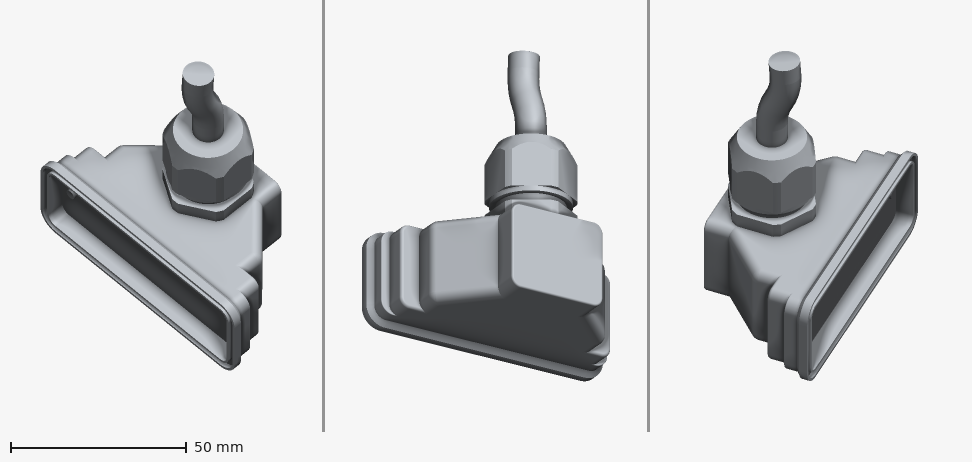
import cadquery as cq
import math

flange_width = 78.4
flange_height = 29.5
flange_radius = 6.0
flange_rim = 2.5
flange_taper_end = 4.05
housing_depth = 43.0
housing_height = 26.2
mid_z = flange_height / 2
housing_top = mid_z + housing_height / 2

collar_width = 74.95
collar_end = 8.0
collar_radius = 4.0
collar_fillet = 0.25
shoulder_width = 69.7
shoulder_end = 14.5
edge_radius = 3.0
shoulder_fillet = 0.9

hood_width = 57.7
hood_slope_start = 21.3
hood_back_width = 30.1
hood_start = 2.5
hood_back_fillet = 0.6
hood_slope_end = hood_slope_start + (hood_width - hood_back_width) / 2

groove_outer_inset = 0.85
groove_inner_inset = 2.5
groove_depth = 1.5
pocket_inset = 3.3
pocket_depth = 5.5
pin_diameter = 3.0
pin_spacing = 63.5
pin_z = 15.3
pin_height = 1.0

gland_overlap = 0.85
gland_y = 28.2
hex_flats = 24.0
hex_corner_diameter = 26.4
neck_diameter = 20.5
base_hex_top = 32.3
neck_top = 35.2
nut_bottom = 36.7
nut_cone_start = 48.2
nut_top = 53.9
nut_top_diameter = 20.0

cable_diameter = 9.0
bend_radius = 19.4
lean_angle = math.radians(27)
end_angle = math.radians(4)
end_length = 5.1
cable_top = 84.4


def rounded_prism(width, height, radius, start, end):
    """Rounded rectangle centred on the housing, running along Y from start to end."""
    return (
        cq.Workplane("XZ", origin=(0, start, mid_z))
        .rect(width, height)
        .extrude(start - end)
        .edges("|Y")
        .fillet(radius)
    )


def flange_inset(inset, start, end):
    """Solid along Y whose outline is the flange outline moved inwards by inset."""
    return rounded_prism(
        flange_width - 2 * inset, flange_height - 2 * inset, flange_radius - inset, start, end
    )


def make_flange():
    """Straight rim with a tapered back that runs down to the collar."""
    taper_inset = (flange_width - collar_width) / 2
    taper_depth = flange_taper_end - flange_rim
    flange = flange_inset(0, 0, flange_taper_end)
    return flange.faces(">Y").edges().chamfer(taper_depth, taper_inset)


def make_steps():
    collar = rounded_prism(collar_width, housing_height, collar_radius, flange_rim, collar_end)
    shoulder = rounded_prism(shoulder_width, housing_height, edge_radius, flange_rim, shoulder_end)
    collar = collar.faces(">Y").edges().fillet(collar_fillet)
    shoulder = shoulder.faces(">Y").edges().fillet(shoulder_fillet)
    return collar.union(shoulder)


def make_hood():
    half_width = hood_width / 2
    half_back = hood_back_width / 2
    right_side = [
        (half_width, hood_start),
        (half_width, hood_slope_start),
        (half_back, hood_slope_end),
        (half_back, housing_depth),
    ]
    left_side = [(-x, y) for x, y in reversed(right_side)]
    hood = (
        cq.Workplane("XY", origin=(0, 0, mid_z - housing_height / 2))
        .polyline(right_side + left_side)
        .close()
        .extrude(housing_height)
    )
    side_edges = hood.faces("<Z or >Z").edges("not |X")
    slope_corners = hood.edges(cq.NearestToPointSelector((half_width, hood_slope_start, mid_z))).add(
        hood.edges(cq.NearestToPointSelector((-half_width, hood_slope_start, mid_z)))
    )
    hood = side_edges.add(slope_corners).fillet(edge_radius)
    return hood.faces(">Y").edges().fillet(hood_back_fillet)


def make_groove():
    outer = flange_inset(groove_outer_inset, 0, groove_depth)
    return outer.cut(flange_inset(groove_inner_inset, 0, groove_depth))


def make_pins():
    return (
        cq.Workplane("XZ", origin=(0, pocket_depth, pin_z))
        .rarray(pin_spacing, 0.85, 2, 1)
        .circle(pin_diameter / 2)
        .extrude(pin_height)
    )


def gland_cylinder(diameter, bottom, top):
    return cq.Workplane("XY", origin=(0, gland_y, bottom)).circle(diameter / 2).extrude(top - bottom)


def gland_hex(bottom, top):
    """Hexagon with two flats facing along X and turned-down corners."""
    hexagon = (
        cq.Workplane("XY", origin=(0, gland_y, bottom))
        .polygon(6, hex_flats, circumscribed=True)
        .extrude(top - bottom)
    )
    return hexagon.intersect(gland_cylinder(hex_corner_diameter, bottom, top))


def make_gland():
    base = gland_hex(housing_top - gland_overlap, base_hex_top)
    neck = gland_cylinder(neck_diameter, base_hex_top, neck_top)
    washer = gland_cylinder(hex_flats, neck_top, nut_bottom)
    cone = (
        cq.Workplane("XY", origin=(0, gland_y, nut_cone_start))
        .circle(hex_corner_diameter / 2)
        .workplane(offset=nut_top - nut_cone_start)
        .circle(nut_top_diameter / 2)
        .loft()
    )
    envelope = gland_cylinder(hex_corner_diameter, nut_bottom, nut_cone_start).union(cone)
    nut = gland_hex(nut_bottom, nut_top).intersect(envelope)
    return base.union(neck).union(washer).union(nut)


def make_cable():
    """Sweep in the YZ plane: leans towards the front, then bends back past vertical."""
    radius = cable_diameter / 2
    end_centre_z = cable_top - radius * math.sin(end_angle)
    bends_rise = bend_radius * (2 * math.sin(lean_angle) + math.sin(end_angle))
    bend_start_z = end_centre_z - end_length * math.cos(end_angle) - bends_rise
    second_centre_y = gland_y - bend_radius + 2 * bend_radius * math.cos(lean_angle)
    second_centre_z = bend_start_z + 2 * bend_radius * math.sin(lean_angle)

    def first_bend(angle):
        return (
            gland_y - bend_radius * (1 - math.cos(angle)),
            bend_start_z + bend_radius * math.sin(angle),
        )

    def second_bend(angle):
        return (
            second_centre_y - bend_radius * math.cos(angle),
            second_centre_z + bend_radius * math.sin(angle),
        )

    end_centre_y = second_bend(end_angle)[0] + end_length * math.sin(end_angle)
    path = (
        cq.Workplane("YZ")
        .moveTo(gland_y, nut_top)
        .lineTo(gland_y, bend_start_z)
        .threePointArc(first_bend(lean_angle / 2), first_bend(lean_angle))
        .threePointArc(second_bend(0), second_bend(end_angle))
        .lineTo(end_centre_y, end_centre_z)
    )
    return cq.Workplane("XY", origin=(0, gland_y, nut_top)).circle(radius).sweep(path)


housing = make_flange().union(make_steps()).union(make_hood())
pocket = flange_inset(pocket_inset, 0, pocket_depth)
housing = housing.cut(make_groove()).cut(pocket).union(make_pins())
result = housing.union(make_gland()).union(make_cable())